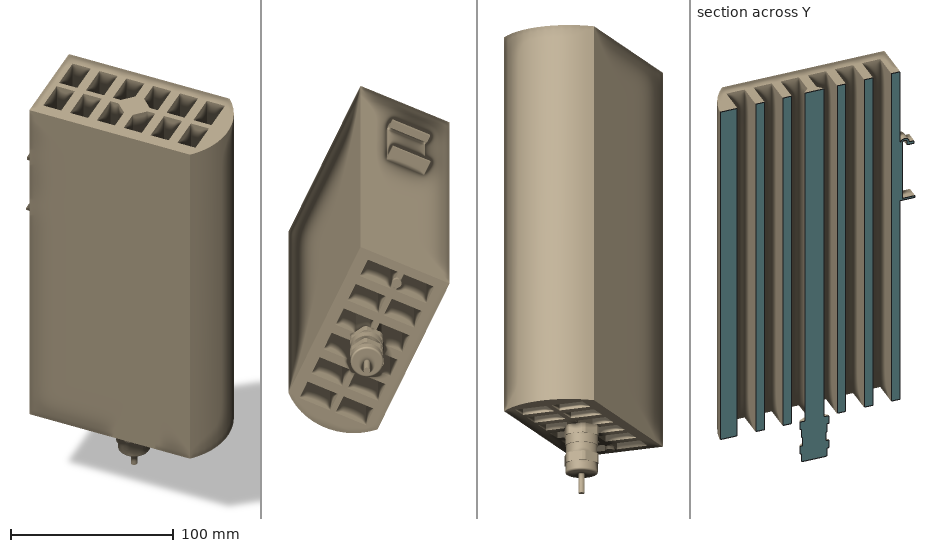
import cadquery as cq
import math


total_height = 282.0
total_length = 130.0

housing_height = 240.0
housing_length = 120.0
housing_width = 60.0
nose_depth = 12.0

shaft_columns = 6
shaft_length = 12.0
shaft_width = 20.5
column_web = 6.0
row_web = 3.7
shaft_grid_length = shaft_columns * shaft_length + (shaft_columns - 1) * column_web
shaft_grid_start = 6.0
grid_center_x = shaft_grid_start + shaft_grid_length / 2
core_half_diagonal = 11.5

clip_width = 25.5
clip_thickness = 1.7
clip_reach = total_length - housing_length
clip_top_z = housing_height - 49.5
clip_bottom_z = housing_height - 94.8
hook_radius = 3.0
lip_reach = 9.3
lip_thickness = 2.3

gland_sections = 5
gland_section_height = 6.0
gland_diameter = 20.0
neck_diameter = 19.0
hex_across_flats = 20.0
hex_corner_diameter = 22.0
gland_edge_fillet = 1.0
cable_diameter = 4.0

pin_diameter = 6.0
pin_height = 2.3
pin_x = 12.5


def make_housing():
    half_width = housing_width / 2
    shoulder_x = housing_length - nose_depth
    return (
        cq.Workplane("XY")
        .moveTo(0, -half_width)
        .lineTo(shoulder_x, -half_width)
        .threePointArc((housing_length, 0), (shoulder_x, half_width))
        .lineTo(0, half_width)
        .close()
        .extrude(housing_height)
    )


def make_shafts():
    """Two rows of rectangular shafts, cut back around a diamond-shaped core."""
    shafts = (
        cq.Workplane("XY")
        .center(grid_center_x, 0)
        .rarray(shaft_length + column_web, shaft_width + row_web, shaft_columns, 2)
        .rect(shaft_length, shaft_width)
        .extrude(housing_height)
    )
    core_side = core_half_diagonal * math.sqrt(2)
    core = (
        cq.Workplane("XY")
        .center(grid_center_x, 0)
        .transformed(rotate=(0, 0, 45))
        .rect(core_side, core_side)
        .extrude(housing_height)
    )
    return shafts.cut(core)


def make_clip():
    """Sheet clip: bottom flange, back plate, arched hook and outward lip."""
    inner_radius = hook_radius - clip_thickness
    arch_z = clip_top_z - hook_radius
    lip_bottom_z = arch_z - lip_thickness
    hook_outer_x = -2 * hook_radius
    hook_inner_x = hook_outer_x + clip_thickness
    return (
        cq.Workplane("XZ")
        .moveTo(0, clip_bottom_z)
        .lineTo(0, arch_z)
        .threePointArc((-hook_radius, clip_top_z), (hook_outer_x, arch_z))
        .lineTo(-lip_reach, arch_z)
        .lineTo(-lip_reach, lip_bottom_z)
        .lineTo(hook_inner_x, lip_bottom_z)
        .lineTo(hook_inner_x, arch_z)
        .threePointArc((-hook_radius, arch_z + inner_radius), (-clip_thickness, arch_z))
        .lineTo(-clip_thickness, clip_bottom_z + clip_thickness)
        .lineTo(-clip_reach, clip_bottom_z + clip_thickness)
        .lineTo(-clip_reach, clip_bottom_z)
        .close()
        .extrude(clip_width / 2, both=True)
    )


def hanging_cylinder(x, top_z, diameter, height):
    return cq.Workplane("XY", origin=(x, 0, top_z)).circle(diameter / 2).extrude(-height)


def gland_ring(top_z, diameter):
    return hanging_cylinder(grid_center_x, top_z, diameter, gland_section_height)


def gland_hex(top_z):
    """Hexagon with flats facing X and corners turned down to a round."""
    corner_to_corner = hex_across_flats / math.cos(math.radians(30))
    hexagon = (
        cq.Workplane("XY", origin=(grid_center_x, 0, top_z))
        .transformed(rotate=(0, 0, 30))
        .polygon(6, corner_to_corner)
        .extrude(-gland_section_height)
    )
    return hexagon.intersect(gland_ring(top_z, hex_corner_diameter))


def make_gland():
    """Hexagon, collar, neck, hexagon and rounded cap, with a cable out of the end."""
    section_tops = [-index * gland_section_height for index in range(gland_sections)]
    upper_hex_z, collar_z, neck_z, lower_hex_z, cap_z = section_tops
    cap = gland_ring(cap_z, gland_diameter).faces("<Z").edges().fillet(gland_edge_fillet)
    cable_length = total_height - housing_height
    return (
        gland_hex(upper_hex_z)
        .union(gland_ring(collar_z, gland_diameter))
        .union(gland_ring(neck_z, neck_diameter))
        .union(gland_hex(lower_hex_z))
        .union(cap)
        .union(hanging_cylinder(grid_center_x, 0, cable_diameter, cable_length))
    )


result = (
    make_housing()
    .cut(make_shafts())
    .union(make_clip())
    .union(make_gland())
    .union(hanging_cylinder(pin_x, 0, pin_diameter, pin_height))
)